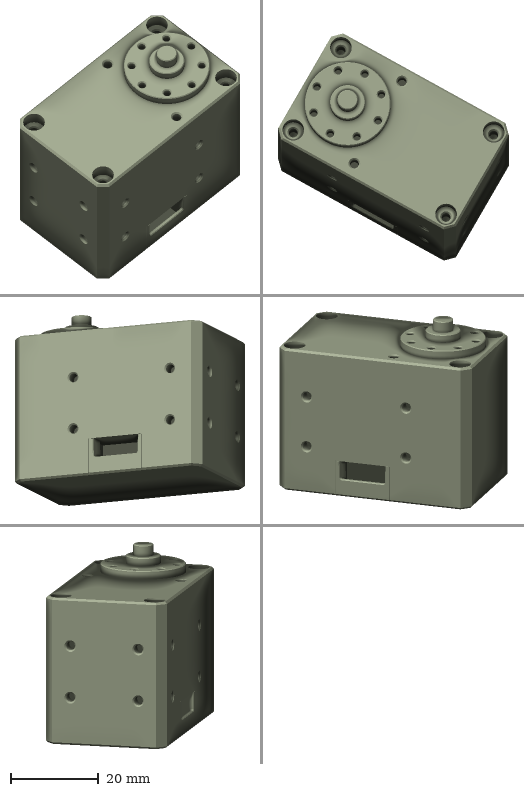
import cadquery as cq
import math

width = 28.5
length = 46.5
body_height = 34.0
corner_cut = 2.0
rim_cut = 0.45

horn_y = 12.0
horn_edge = 0.2
horn_discs = (
    (19.55, 2.0),
    (8.0, 1.85),
    (4.6, 2.55),
)
horn_hole_count = 8
horn_hole_circle = 16.0
horn_hole = 1.67
horn_hole_mouth = 2.2
horn_hole_depth = 3.0

tap_hole = 2.05
tap_mouth = 2.7
tap_depth = 3.0

screw_x = 11.0
screw_y = 20.0
counterbore = 4.95
counterbore_depth = 3.0
screw_hole_depth = 4.0
drill_point_angle = 118.0
top_tap_y = 4.0

wall_hole_levels = (11.0, 23.0)
side_hole_y = (8.0, -16.0)
end_hole_x = (-8.0, 8.0)

port_y = -2.5
port_top = 8.45
window_sill = 4.1
window_width = 11.05
window_draft = 2.0
window_corner = 0.4
window_edge_angle = 45.0
window_edge = 0.2
lip_depth = 0.75
neck_depth = 4.0
chamber_floor = 1.35
chamber_width = 13.0
chamber_depth = 8.0

panel_width = 13.0
joint_gap = 0.1
joint_depth = 0.2


def pointed_hole(origin, inward, diameter, mouth, depth, point_angle=None):
    """Cutter for a hole with a 45 degree mouth chamfer, flat-bottomed unless a point angle is given."""
    radius = diameter / 2
    mouth_radius = mouth / 2
    profile = cq.Workplane("XZ").moveTo(0, 0).lineTo(mouth_radius, 0)
    profile = profile.lineTo(radius, mouth_radius - radius).lineTo(radius, depth)
    tip = depth
    if point_angle:
        tip += radius / math.tan(math.radians(point_angle / 2))
    cutter = profile.lineTo(0, tip).close().revolve(360, (0, 0), (0, 1)).val()
    return cutter.located(cq.Location(cq.Plane(origin, normal=inward)))


def make_body():
    block = cq.Workplane("XY").box(width, length, body_height, centered=(True, True, False))
    return block.edges("|Z").chamfer(corner_cut).faces("<Z or >Z").chamfer(rim_cut)


def add_horn(part):
    base = body_height
    for diameter, thickness in horn_discs:
        disc = cq.Workplane("XY", origin=(0, horn_y, base)).circle(diameter / 2).extrude(thickness)
        part = part.union(disc.faces(">Z").chamfer(horn_edge))
        base += thickness
    return part


def cut_horn_holes(part):
    horn_face = body_height + horn_discs[0][1]
    for i in range(horn_hole_count):
        angle = 2 * math.pi * i / horn_hole_count
        x = horn_hole_circle / 2 * math.cos(angle)
        y = horn_y + horn_hole_circle / 2 * math.sin(angle)
        part = part.cut(cq.Workplane(
            pointed_hole((x, y, horn_face), (0, 0, -1), horn_hole, horn_hole_mouth, horn_hole_depth)))
    return part


def cut_top_holes(part):
    seat = body_height - counterbore_depth
    down = (0, 0, -1)
    for x in (-screw_x, screw_x):
        for y in (-screw_y, screw_y):
            part = part.cut(cq.Workplane("XY", origin=(x, y, seat))
                            .circle(counterbore / 2).extrude(counterbore_depth))
            part = part.cut(cq.Workplane(
                pointed_hole((x, y, seat), down, tap_hole, tap_mouth, screw_hole_depth, drill_point_angle)))
        part = part.cut(cq.Workplane(
            pointed_hole((x, top_tap_y, body_height), down, tap_hole, tap_mouth, tap_depth)))
    return part


def cut_wall_holes(part):
    for z in wall_hole_levels:
        for x in end_hole_x:
            part = part.cut(cq.Workplane(
                pointed_hole((x, -length / 2, z), (0, 1, 0), tap_hole, tap_mouth, tap_depth)))
        for y in side_hole_y:
            for side in (-1, 1):
                part = part.cut(cq.Workplane(
                    pointed_hole((side * width / 2, y, z), (-side, 0, 0), tap_hole, tap_mouth, tap_depth)))
    return part


def drafted_slot(floor):
    """Closed outline on the -X face whose side walls lean in from the port top to the floor."""
    half_top = window_width / 2
    half_floor = half_top - (port_top - floor) * math.tan(math.radians(window_draft))
    return cq.Workplane("YZ", origin=(-width / 2, port_y, 0)).polyline([
        (-half_top, port_top),
        (-half_floor, floor),
        (half_floor, floor),
        (half_top, port_top),
    ]).close()


def make_port():
    """Port cutter for the -X side: window, neck behind its sill, then the wider chamber."""
    window = drafted_slot(window_sill).extrude(neck_depth)
    window = window.faces("<Z").edges("|X").fillet(window_corner)
    rim = window.faces("<X").wires().val()
    flare = cq.Workplane("YZ", origin=(-width / 2, 0, 0)).add(rim).toPending()
    flare = flare.offset2D(window_edge).extrude(window_edge, taper=window_edge_angle)
    flare = flare.intersect(cq.Workplane("XY").box(width, length, port_top, centered=(True, True, False)))
    neck = drafted_slot(chamber_floor).extrude(neck_depth - lip_depth).translate((lip_depth, 0, 0))
    chamber = cq.Workplane("XY").box(
        chamber_depth - neck_depth, chamber_width, port_top - chamber_floor, centered=(False, True, False)
    ).translate((-width / 2 + neck_depth, port_y, chamber_floor))
    return window.union(flare).union(neck).union(chamber)


def make_panel_joint():
    """Cutter for the narrow gap along the sides and top of the cover panel on the -X face."""
    face = cq.Workplane("YZ", origin=(-width / 2, port_y, 0))
    outer_width = panel_width + 2 * joint_gap
    outer = face.rect(outer_width, 2 * port_top).extrude(joint_depth)
    panel = face.rect(panel_width, 2 * (port_top - joint_gap)).extrude(joint_depth)
    return outer.cut(panel)


def cut_ports(part):
    port = make_port().union(make_panel_joint())
    return part.cut(port).cut(port.mirror("YZ"))


result = make_body()
result = add_horn(result)
result = cut_horn_holes(result)
result = cut_top_holes(result)
result = cut_wall_holes(result)
result = cut_ports(result)